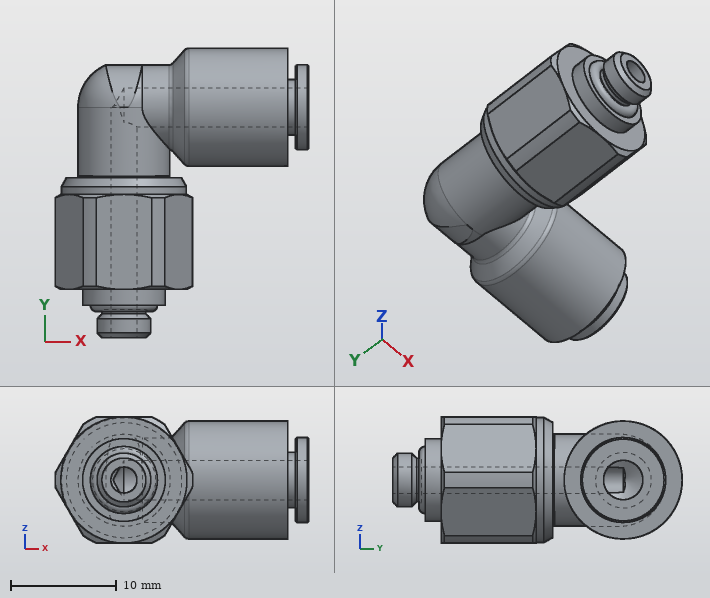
import cadquery as cq
import math


tube_neck_radius = 4.02
sleeve_radius = 5.6
flare_start = 4.48
flare_end = 5.9
flare_blend_radius = 0.55
sleeve_end = 15.56
release_neck_radius = 2.65
release_flange_radius = 4.05
release_flange_start = 16.28
release_flange_end = 17.57
release_chamfer = 0.16

stem_radius = 4.37
stem_end = -6.55
elbow_cap_offset = tube_neck_radius - stem_radius

gap_radius = 3.0
collar_start = -6.68
collar_top_radius = 5.47
collar_radius = 5.95
collar_taper_end = -7.54
nut_start = -8.28
nut_end = -17.3
across_flats = 12.0
nut_corner_radius = 6.55
nut_chamfer_angle = 30
seat_radius = 3.93
seat_end = -18.8
ring_outer_radius = 3.2
ring_section_radius = 0.6
thread_neck_radius = 2.1
thread_neck_end = -19.6
thread_radius = 2.55
thread_start = -20.1
overall_length = 27.5
thread_end = sleeve_radius - overall_length
thread_chamfer = 0.47

stem_bore_radius = 1.25
tube_bore_radius = 1.87
drill_tip_half_angle = 60


def revolve_about_x(points):
    """Revolve a closed (x, radius) outline about the tube axis."""
    return cq.Workplane("XY").polyline(points).close().revolve(360, (0, 0, 0), (1, 0, 0))


def revolve_about_y(points):
    """Revolve a closed (radius, y) outline about the stem axis."""
    return cq.Workplane("XY").polyline(points).close().revolve(360, (0, 0, 0), (0, 1, 0))


def tube_sleeve():
    sleeve = revolve_about_x([
        (0, 0), (0, tube_neck_radius), (flare_start, tube_neck_radius),
        (flare_end, sleeve_radius), (sleeve_end, sleeve_radius), (sleeve_end, 0),
    ])
    flare_edges = cq.selectors.BoxSelector(
        (flare_start - 0.28, -sleeve_radius - 0.28, -sleeve_radius - 0.28),
        (flare_end + 0.28, sleeve_radius + 0.28, sleeve_radius + 0.28),
        boundingbox=True,
    )
    return sleeve.edges("%CIRCLE").edges(flare_edges).fillet(flare_blend_radius)


def release_ring():
    neck = cq.Workplane("YZ").circle(release_neck_radius).extrude(release_flange_end)
    flange = (
        cq.Workplane("YZ", origin=(release_flange_start, 0, 0))
        .circle(release_flange_radius)
        .extrude(release_flange_end - release_flange_start)
        .edges()
        .chamfer(release_chamfer)
    )
    return neck.union(flange)


def elbow():
    stem = revolve_about_y([(0, 0), (stem_radius, 0), (stem_radius, stem_end), (0, stem_end)])
    upper_half = cq.Workplane("XY").box(
        2 * stem_radius, stem_radius, 2 * stem_radius, centered=(True, False, True)
    )
    cap = (
        cq.Workplane("YZ", origin=(-stem_radius, elbow_cap_offset, 0))
        .circle(stem_radius)
        .extrude(2 * stem_radius)
    )
    dome = cq.Workplane("XY").sphere(stem_radius).intersect(upper_half).intersect(cap)
    return stem.union(dome)


def collar():
    return revolve_about_y([
        (0, stem_end), (gap_radius, stem_end), (gap_radius, collar_start),
        (collar_top_radius, collar_start), (collar_radius, collar_taper_end),
        (collar_radius, nut_start), (0, nut_start),
    ])


def hex_nut():
    length = nut_start - nut_end
    hexagon = (
        cq.Workplane("XZ", origin=(0, nut_start, 0))
        .polygon(6, across_flats / math.cos(math.pi / 6))
        .extrude(length)
    )
    chamfer_width = nut_corner_radius - across_flats / 2
    chamfer_height = chamfer_width * math.tan(math.radians(nut_chamfer_angle))
    blank = revolve_about_y([
        (0, nut_start), (across_flats / 2, nut_start),
        (nut_corner_radius, nut_start - chamfer_height),
        (nut_corner_radius, nut_end + chamfer_height),
        (across_flats / 2, nut_end), (0, nut_end),
    ])
    return hexagon.intersect(blank)


def threaded_end():
    spigot = revolve_about_y([
        (0, nut_end), (seat_radius, nut_end), (seat_radius, seat_end),
        (thread_neck_radius, seat_end), (thread_neck_radius, thread_neck_end),
        (thread_radius, thread_start), (thread_radius, thread_end + thread_chamfer),
        (thread_radius - thread_chamfer, thread_end), (0, thread_end),
    ])
    ring = (
        cq.Workplane("XY")
        .center(ring_outer_radius - ring_section_radius, seat_end)
        .circle(ring_section_radius)
        .revolve(360, (ring_section_radius - ring_outer_radius, 0, 0),
                 (ring_section_radius - ring_outer_radius, 1, 0))
    )
    return spigot.union(ring)


def passages():
    tip_slope = math.tan(math.radians(drill_tip_half_angle))
    tube_bore = revolve_about_x([
        (-tube_bore_radius / tip_slope, 0), (0, tube_bore_radius),
        (release_flange_end, tube_bore_radius), (release_flange_end, 0),
    ])
    stem_bore = revolve_about_y([
        (0, stem_bore_radius / tip_slope), (stem_bore_radius, 0),
        (stem_bore_radius, thread_end), (0, thread_end),
    ])
    return tube_bore.union(stem_bore)


result = (
    elbow()
    .union(tube_sleeve())
    .union(release_ring())
    .union(collar())
    .union(hex_nut())
    .union(threaded_end())
    .cut(passages())
)